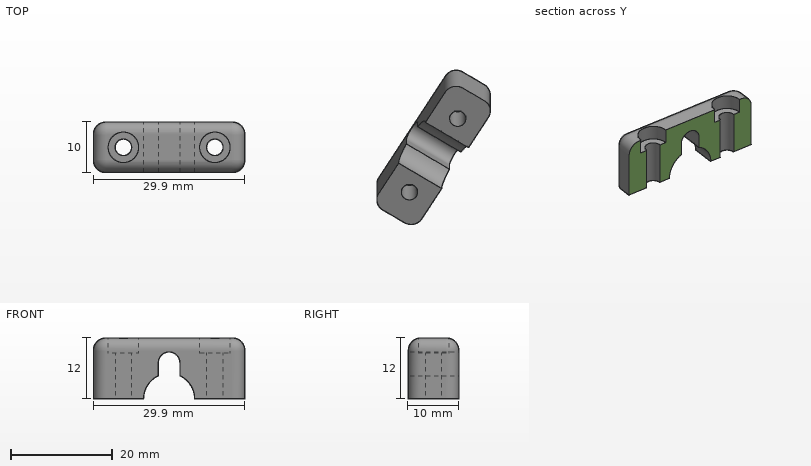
import cadquery as cq

length = 29.86
width = 10.0
height = 12.0
edge_radius = 2.5

hole_spacing = 18.0
hole_diameter = 3.2
counterbore_diameter = 6.0
counterbore_depth = 3.0

channel_radius = 5.0
slot_width = 4.2
slot_top = 9.2


def make_body():
    """Block standing on Z = 0 with every edge rounded except those of the base."""
    block = cq.Workplane("XY").box(length, width, height, centered=(True, True, False))
    return block.edges("|Z or >Z").fillet(edge_radius)


def make_channel():
    """Half-round channel at the base, topped by a narrower round-ended slot."""
    slot_radius = slot_width / 2
    arc_height = slot_top - slot_radius
    mid_plane = cq.Workplane("XZ")
    main_bore = mid_plane.circle(channel_radius).extrude(width / 2, both=True)
    slot = (
        mid_plane.moveTo(-slot_radius, 0)
        .lineTo(-slot_radius, arc_height)
        .threePointArc((0, slot_top), (slot_radius, arc_height))
        .lineTo(slot_radius, 0)
        .close()
        .extrude(width / 2, both=True)
    )
    return main_bore.union(slot)


def cut_screw_holes(body):
    """Counterbored through holes on either side of the channel."""
    return (
        body.faces(">Z")
        .workplane(origin=(0, 0, height))
        .pushPoints([(-hole_spacing / 2, 0), (hole_spacing / 2, 0)])
        .cboreHole(hole_diameter, counterbore_diameter, counterbore_depth)
    )


result = cut_screw_holes(make_body().cut(make_channel()))